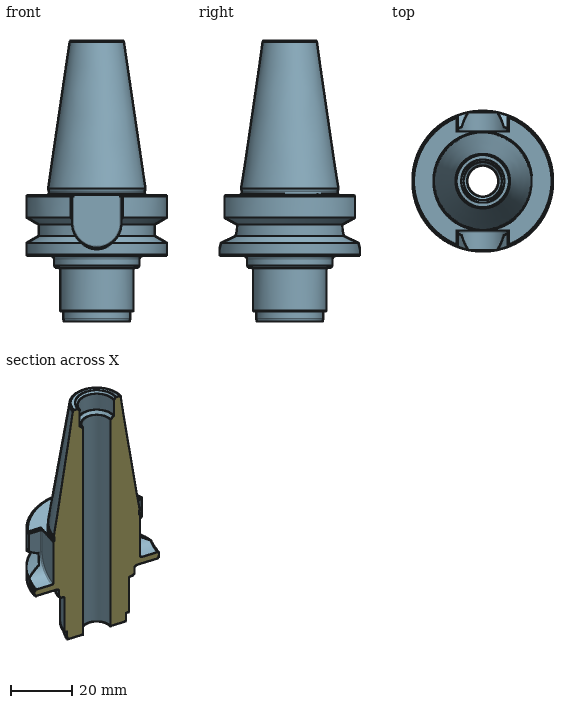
import cadquery as cq
import math

total_height = 91.7

nose_radius = 22.0 / 2
nose_chamfer_width = 0.3
nose_chamfer_height = 1.0
nose_top = 3.3
body_radius = 24.0 / 2
body_chamfer = 0.3
body_top = 17.5
body_fillet = 0.5
collar_radius = 28.0 / 2
collar_chamfer = 0.7
collar_fillet = 1.0

flange_radius = 46.0 / 2
flange_bottom = 21.4
flange_top = 41.4
flange_chamfer = 0.55
groove_radius = 19.0
groove_bottom = 28.0
groove_top = 31.6
groove_angle = math.radians(30)
groove_flank_height = (flange_radius - groove_radius) * math.tan(groove_angle)

taper_radius = 16.0
taper_bottom = 43.4
taper_slope = 7 / 24 / 2
taper_top_radius = taper_radius - taper_slope * (total_height - taper_bottom)
taper_end_chamfer = 0.4
neck_radius = 15.7
neck_top = 42.5
neck_fillet = 0.5

bore_radius = 10.1 / 2
counterbore_radius = 12.5 / 2
counterbore_bottom = 84.5
mouth_chamfer = 0.8

slot_half_width = 8.1
slot_arc_height = 32.2
slot_floor = 16.1
slot_floor_fillet = 0.5
slot_edge_chamfer = 0.55


def outer_body():
    """Solid of revolution carrying every outside diameter."""
    profile = (
        cq.Workplane("XZ")
        .moveTo(0, 0)
        .lineTo(nose_radius - nose_chamfer_width, 0)
        .lineTo(nose_radius, nose_chamfer_height)
        .lineTo(nose_radius, nose_top)
        .lineTo(body_radius - body_chamfer, nose_top)
        .lineTo(body_radius, nose_top + body_chamfer)
        .lineTo(body_radius, body_top - body_fillet)
        .radiusArc((body_radius + body_fillet, body_top), body_fillet)
        .lineTo(collar_radius - collar_chamfer, body_top)
        .lineTo(collar_radius, body_top + collar_chamfer)
        .lineTo(collar_radius, flange_bottom - collar_fillet)
        .radiusArc((collar_radius + collar_fillet, flange_bottom), collar_fillet)
        .lineTo(flange_radius - flange_chamfer, flange_bottom)
        .lineTo(flange_radius, flange_bottom + flange_chamfer)
        .lineTo(flange_radius, groove_bottom - groove_flank_height)
        .lineTo(groove_radius, groove_bottom)
        .lineTo(groove_radius, groove_top)
        .lineTo(flange_radius, groove_top + groove_flank_height)
        .lineTo(flange_radius, flange_top - flange_chamfer)
        .lineTo(flange_radius - flange_chamfer, flange_top)
        .lineTo(neck_radius + neck_fillet, flange_top)
        .radiusArc((neck_radius, flange_top + neck_fillet), neck_fillet)
        .lineTo(neck_radius, neck_top)
        .lineTo(taper_radius, taper_bottom)
        .lineTo(taper_top_radius, total_height - taper_end_chamfer)
        .lineTo(taper_top_radius - taper_end_chamfer, total_height)
        .lineTo(0, total_height)
        .close()
    )
    return profile.revolve(360, (0, 0, 0), (0, 1, 0))


def bore():
    """Through bore with a coned counterbore and a chamfered mouth at the top."""
    cone_bottom = counterbore_bottom - (counterbore_radius - bore_radius)
    profile = (
        cq.Workplane("XZ")
        .lineTo(bore_radius, 0)
        .lineTo(bore_radius, cone_bottom)
        .lineTo(counterbore_radius, counterbore_bottom)
        .lineTo(counterbore_radius, total_height - mouth_chamfer)
        .lineTo(counterbore_radius + mouth_chamfer, total_height)
        .lineTo(0, total_height)
        .close()
    )
    return profile.revolve(360, (0, 0, 0), (0, 1, 0))


def drive_slot():
    """Round-ended slot on the -Y side, filleted along the floor and flared at the top."""
    clearance = 0.9
    slot = (
        cq.Workplane("XZ", origin=(0, -slot_floor, 0))
        .moveTo(-slot_half_width, flange_top + clearance)
        .lineTo(-slot_half_width, slot_arc_height)
        .threePointArc((0, slot_arc_height - slot_half_width), (slot_half_width, slot_arc_height))
        .lineTo(slot_half_width, flange_top + clearance)
        .close()
        .extrude(flange_radius)
        .faces(">Y").edges("not >Z").fillet(slot_floor_fillet)
    )
    flare = (
        cq.Workplane("XZ", origin=(0, -slot_floor, 0))
        .moveTo(-slot_half_width, flange_top - slot_edge_chamfer)
        .lineTo(slot_half_width, flange_top - slot_edge_chamfer)
        .lineTo(slot_half_width + slot_edge_chamfer, flange_top)
        .lineTo(-slot_half_width - slot_edge_chamfer, flange_top)
        .close()
        .extrude(flange_radius)
    )
    return slot.union(flare)


def slot_corner_breaks():
    """45 degree wedges that break the slot walls' corners with the flange rim."""
    corner_y = math.sqrt(flange_radius**2 - (slot_half_width + slot_edge_chamfer) ** 2)
    reach = flange_radius - corner_y
    inner_y = corner_y - slot_edge_chamfer
    return (
        cq.Workplane("XY", origin=(0, 0, slot_arc_height))
        .moveTo(-slot_half_width, -inner_y)
        .lineTo(slot_half_width, -inner_y)
        .lineTo(slot_half_width + slot_edge_chamfer + reach, -flange_radius)
        .lineTo(-slot_half_width - slot_edge_chamfer - reach, -flange_radius)
        .close()
        .extrude(flange_top - slot_arc_height)
    )


def slot_end_break():
    """Cone that breaks the edge between the slot's round end and the lower flange rim."""
    start_y = flange_radius - slot_edge_chamfer
    return cq.Workplane(
        cq.Solid.makeCone(
            slot_half_width,
            slot_half_width + slot_edge_chamfer,
            slot_edge_chamfer,
            pnt=cq.Vector(0, -start_y, slot_arc_height),
            dir=cq.Vector(0, -1, 0),
        )
    )


slot_cut = drive_slot().union(slot_corner_breaks()).union(slot_end_break())
result = outer_body().cut(bore())
for side_angle in (0, 180):
    result = result.cut(slot_cut.rotate((0, 0, 0), (0, 0, 1), side_angle))